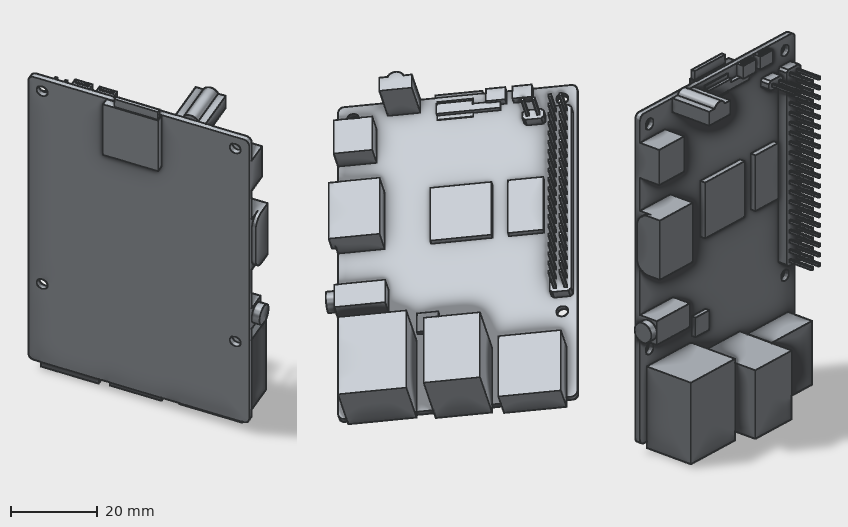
import cadquery as cq


BOARD_WIDTH = 56.1
BOARD_HEIGHT = 85.1
BOARD_THICKNESS = 1.4
CORNER_RADIUS = 1.4
HOLE_DIAMETER = 2.8
HOLE_INSET = 3.5
HOLE_SPACING_X = BOARD_WIDTH - 2 * HOLE_INSET
HOLE_SPACING_Z = 58.0
HOLE_TOP = BOARD_HEIGHT - HOLE_INSET
HOLE_BOTTOM = HOLE_TOP - HOLE_SPACING_Z

SINGLE_USB = dict(left=2.5, width=14.7, bottom=-2.7, length=16.5, rise=7.3)
DOUBLE_USB = dict(left=20.0, width=13.2, bottom=-2.25, length=17.7, rise=15.6)
NETWORK_JACK = dict(left=37.7, width=16.0, bottom=-1.6, length=21.05, rise=13.2)

POWER_SIZE = 9.1
POWER_BOTTOM = 69.0
POWER_RISE = 5.8

VIDEO_LEFT = 45.15
VIDEO_OVERHANG = 1.0
VIDEO_BOTTOM = 45.2
VIDEO_LENGTH = 15.3
VIDEO_RISE = 6.75
VIDEO_EDGE_RADIUS = 3.2

AUDIO_WIDTH = 12.0
AUDIO_LENGTH = 6.1
AUDIO_CENTER_Z = 30.6
BARREL_DIAMETER = 5.0
BARREL_OVERHANG = 2.0

BUTTON_LEFTS = (10.3, 16.55)
BUTTON_WIDTH = 4.5
BUTTON_LENGTH = 3.3
BUTTON_RISE = 2.0
PLUNGER_WIDTH = 3.4
PLUNGER_THICKNESS = 0.6
PLUNGER_BASE = 0.8
PLUNGER_TRAVEL = 0.4
BUTTON_SETBACK = 0.1

TALL_CHIP_RISE = 1.4
FLAT_CHIP_RISE = 1.2
PROCESSOR = dict(left=19.9, width=14.4, bottom=45.4, length=14.4, rise=TALL_CHIP_RISE)
MEMORY = dict(left=7.7, width=8.3, bottom=45.4, length=14.4, rise=TALL_CHIP_RISE)
CONTROLLER = dict(left=32.4, width=5.0, bottom=21.05, length=5.0, rise=FLAT_CHIP_RISE)

RIBBON = dict(left=24.4, width=8.5, bottom=80.1, length=2.7, rise=FLAT_CHIP_RISE)
RIBBON_BASE = dict(left=24.4, width=8.5, bottom=79.0, length=4.9, rise=0.3)
RIBBON_CHIP = dict(left=17.9, width=6.5, bottom=80.1, length=1.8, rise=FLAT_CHIP_RISE)

PITCH = 2.54
PIN_SIZE = 0.64
PIN_RISE = 9.3
HEADER_RISE = PITCH
HEADER_CHAMFER = 0.6
LONG_HEADER_ROWS = 20
LONG_HEADER_CENTER = (3.5, 52.8)
SHORT_HEADER_CENTER = (9.9, 76.5)

RECEIVER_LEFT = 36.8
RECEIVER_WIDTH = 7.65
RECEIVER_LENGTH = 3.6
RECEIVER_RISE = 11.1
LENS_DIAMETER = 4.2
LENS_PROJECTION = 1.2

SLOT_LEFT = 19.9
SLOT_WIDTH = 14.0
SLOT_TOP = 84.9
SLOT_LENGTH = 15.2
SLOT_DEPTH = 2.0
CARD_LEFT = 22.7
CARD_WIDTH = 11.1
CARD_TOP = 87.25
CARD_THICKNESS = 1.0
CARD_GAP_TO_BOARD = 0.7


def block(left, width, bottom, length, rise, base=BOARD_THICKNESS):
    """Box spanning width in X and length in Z, rising in +Y from the base plane."""
    return cq.Workplane("XY").box(width, rise, length, centered=False).translate((left, base, bottom))


def bare_board():
    plate = block(0, BOARD_WIDTH, 0, BOARD_HEIGHT, BOARD_THICKNESS, base=0)
    plate = plate.edges("|Y").fillet(CORNER_RADIUS)
    holes = (
        cq.Workplane("XZ")
        .center(BOARD_WIDTH / 2, (HOLE_TOP + HOLE_BOTTOM) / 2)
        .rect(HOLE_SPACING_X, HOLE_SPACING_Z, forConstruction=True)
        .vertices()
        .circle(HOLE_DIAMETER / 2)
        .extrude(-BOARD_THICKNESS)
    )
    return plate.cut(holes)


def power_jack():
    return block(BOARD_WIDTH - POWER_SIZE, POWER_SIZE, POWER_BOTTOM, POWER_SIZE, POWER_RISE)


def video_connector():
    body = block(VIDEO_LEFT, BOARD_WIDTH - VIDEO_LEFT, VIDEO_BOTTOM, VIDEO_LENGTH, VIDEO_RISE)
    mouth = block(BOARD_WIDTH, VIDEO_OVERHANG, VIDEO_BOTTOM, VIDEO_LENGTH, VIDEO_RISE)
    mouth = mouth.edges("|X and <Y").fillet(VIDEO_EDGE_RADIUS)
    return body.union(mouth)


def audio_jack():
    bottom = AUDIO_CENTER_Z - AUDIO_LENGTH / 2
    body = block(BOARD_WIDTH - AUDIO_WIDTH, AUDIO_WIDTH, bottom, AUDIO_LENGTH, BARREL_DIAMETER)
    barrel = (
        cq.Workplane("YZ", origin=(BOARD_WIDTH, BOARD_THICKNESS + BARREL_DIAMETER / 2, AUDIO_CENTER_Z))
        .circle(BARREL_DIAMETER / 2)
        .extrude(BARREL_OVERHANG)
    )
    return body.union(barrel)


def push_button(left):
    top = BOARD_HEIGHT - BUTTON_SETBACK
    housing = block(left, BUTTON_WIDTH, top - BUTTON_LENGTH, BUTTON_LENGTH, BUTTON_RISE)
    plunger = block(
        left + (BUTTON_WIDTH - PLUNGER_WIDTH) / 2,
        PLUNGER_WIDTH,
        top,
        PLUNGER_TRAVEL,
        PLUNGER_THICKNESS,
        base=BOARD_THICKNESS + PLUNGER_BASE,
    )
    return housing.union(plunger)


def populated_board():
    """The board as one solid with its soldered connectors, buttons and chips."""
    board = bare_board()
    for sizes in (SINGLE_USB, DOUBLE_USB, NETWORK_JACK):
        board = board.union(block(**sizes))
    for sizes in (PROCESSOR, MEMORY, CONTROLLER, RIBBON, RIBBON_BASE, RIBBON_CHIP):
        board = board.union(block(**sizes))
    for left in BUTTON_LEFTS:
        board = board.union(push_button(left))
    return board.union(power_jack()).union(video_connector()).union(audio_jack())


def pin_header(center, columns, rows):
    """Plastic strip with chamfered corners and a grid of square pins."""
    center_x, center_z = center
    width = columns * PITCH
    length = rows * PITCH
    strip = block(center_x - width / 2, width, center_z - length / 2, length, HEADER_RISE)
    strip = strip.edges("|Y").chamfer(HEADER_CHAMFER)
    pins = (
        cq.Workplane("XZ", origin=(center_x, BOARD_THICKNESS + HEADER_RISE, center_z))
        .rarray(PITCH, PITCH, columns, rows)
        .rect(PIN_SIZE, PIN_SIZE)
        .extrude(HEADER_RISE - PIN_RISE)
    )
    return strip.union(pins)


def infrared_receiver():
    body = block(
        RECEIVER_LEFT, RECEIVER_WIDTH, BOARD_HEIGHT - RECEIVER_LENGTH, RECEIVER_LENGTH, RECEIVER_RISE
    )
    lens_radius = LENS_DIAMETER / 2
    lens_x = RECEIVER_LEFT + RECEIVER_WIDTH / 2
    lens_z = BOARD_HEIGHT + LENS_PROJECTION - lens_radius
    lens = (
        cq.Workplane("XZ", origin=(lens_x, BOARD_THICKNESS, lens_z))
        .circle(lens_radius)
        .extrude(-RECEIVER_RISE)
    )
    return body.union(lens)


def card_slot():
    bottom = SLOT_TOP - SLOT_LENGTH
    return block(SLOT_LEFT, SLOT_WIDTH, bottom, SLOT_LENGTH, SLOT_DEPTH, base=-SLOT_DEPTH)


def memory_card():
    """Exposed end of the card, standing on the top face of the slot."""
    base = -CARD_GAP_TO_BOARD - CARD_THICKNESS
    return block(CARD_LEFT, CARD_WIDTH, SLOT_TOP, CARD_TOP - SLOT_TOP, CARD_THICKNESS, base=base)


board = populated_board()
long_header = pin_header(LONG_HEADER_CENTER, columns=2, rows=LONG_HEADER_ROWS)
short_header = pin_header(SHORT_HEADER_CENTER, columns=2, rows=1)
receiver = infrared_receiver()
slot = card_slot()
card = memory_card()

result = cq.Compound.makeCompound(
    [board.val(), long_header.val(), short_header.val(), receiver.val(), slot.val(), card.val()]
)